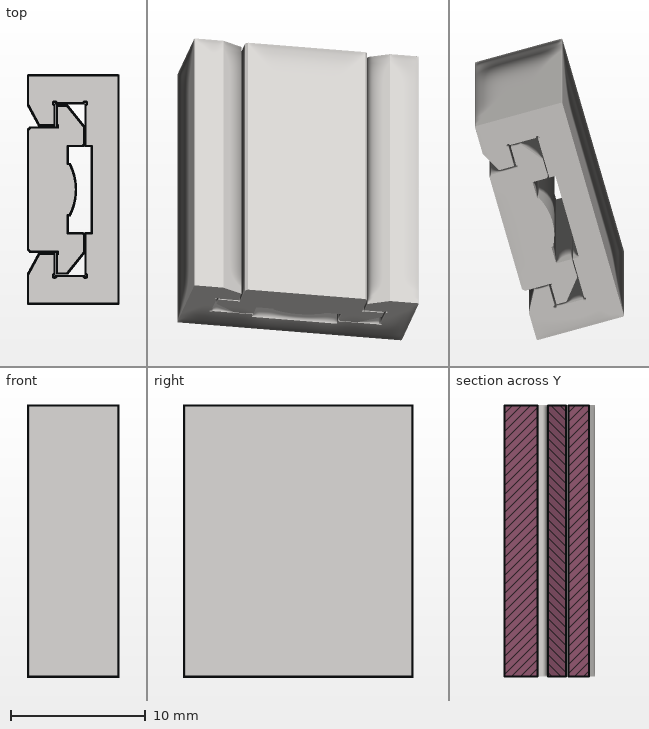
import cadquery as cq

LENGTH = 20.1
DEPTH = 6.74
HALF_WIDTH = 16.95 / 2
POCKET_HALF_WIDTH = 3.22
CLEARANCE = 0.16

CHANNEL_HALF_WIDTH = 6.4
CHANNEL_FLOOR_X = 4.26
POCKET_FLOOR_X = 4.73
LIP_BACK_X = 2.0
LIP_HALF_GAP = 4.77
LIP_TIP_X = 0.82
LIP_BEVEL_HALF_WIDTH = 6.3
RELIEF_RADIUS = 0.12
RAIL_EDGE_RADIUS = 0.1

CARRIAGE_HALF_WIDTH = LIP_HALF_GAP - CLEARANCE
WING_HALF_WIDTH = CHANNEL_HALF_WIDTH - CLEARANCE
WING_FRONT_X = LIP_BACK_X + CLEARANCE
WING_TIP_X = 2.92
WING_BEVEL_HALF_WIDTH = 4.67
CARRIAGE_BACK_X = 4.18
CARRIAGE_POCKET_X = 2.98
BUMP_HALF_WIDTH = 1.91
BUMP_SHOULDER_X = 3.12
BUMP_CREST_X = 3.58
NECK_RELIEF_DEPTH = 0.08
NECK_RELIEF_WIDTH = 0.16
CARRIAGE_EDGE_CHAMFER = 0.18
BACK_EDGE_CHAMFER = 0.12


def mirrored(points):
    """Complete a symmetric outline from the points of its +Y half."""
    return points + [(x, -y) for x, y in reversed(points)]


def extrude_outline(half_points):
    return cq.Workplane("XY").polyline(mirrored(half_points)).close().extrude(LENGTH)


def make_rail():
    rail = extrude_outline([
        (POCKET_FLOOR_X, POCKET_HALF_WIDTH),
        (CHANNEL_FLOOR_X, POCKET_HALF_WIDTH),
        (CHANNEL_FLOOR_X, CHANNEL_HALF_WIDTH),
        (LIP_BACK_X, CHANNEL_HALF_WIDTH),
        (LIP_BACK_X, LIP_HALF_GAP),
        (LIP_TIP_X, LIP_HALF_GAP),
        (0, LIP_BEVEL_HALF_WIDTH),
        (0, HALF_WIDTH),
        (DEPTH, HALF_WIDTH),
    ])

    for x in (0, DEPTH):
        for y in (-HALF_WIDTH, HALF_WIDTH):
            corner = cq.selectors.NearestToPointSelector((x, y, LENGTH / 2))
            rail = rail.edges("|Z").edges(corner).fillet(RAIL_EDGE_RADIUS)

    relief_centers = [
        (x, y)
        for x in (LIP_BACK_X, CHANNEL_FLOOR_X)
        for y in (-CHANNEL_HALF_WIDTH, CHANNEL_HALF_WIDTH)
    ]
    reliefs = cq.Workplane("XY").pushPoints(relief_centers).circle(RELIEF_RADIUS).extrude(LENGTH)
    return rail.cut(reliefs)


def make_carriage():
    carriage = extrude_outline([
        (0, CARRIAGE_HALF_WIDTH - CARRIAGE_EDGE_CHAMFER),
        (CARRIAGE_EDGE_CHAMFER, CARRIAGE_HALF_WIDTH),
        (WING_FRONT_X + NECK_RELIEF_DEPTH, CARRIAGE_HALF_WIDTH),
        (WING_FRONT_X + NECK_RELIEF_DEPTH, CARRIAGE_HALF_WIDTH + NECK_RELIEF_WIDTH),
        (WING_FRONT_X, CARRIAGE_HALF_WIDTH + NECK_RELIEF_WIDTH),
        (WING_FRONT_X, WING_HALF_WIDTH),
        (WING_TIP_X, WING_HALF_WIDTH),
        (CARRIAGE_BACK_X, WING_BEVEL_HALF_WIDTH),
        (CARRIAGE_BACK_X, POCKET_HALF_WIDTH + BACK_EDGE_CHAMFER),
        (CARRIAGE_BACK_X - BACK_EDGE_CHAMFER, POCKET_HALF_WIDTH),
        (CARRIAGE_POCKET_X, POCKET_HALF_WIDTH),
    ])

    bump = (
        cq.Workplane("XY")
        .moveTo(CARRIAGE_POCKET_X, -BUMP_HALF_WIDTH)
        .lineTo(BUMP_SHOULDER_X, -BUMP_HALF_WIDTH)
        .threePointArc((BUMP_CREST_X, 0), (BUMP_SHOULDER_X, BUMP_HALF_WIDTH))
        .lineTo(CARRIAGE_POCKET_X, BUMP_HALF_WIDTH)
        .close()
        .extrude(LENGTH)
    )
    return carriage.union(bump)


rail = make_rail()
carriage = make_carriage()

result = cq.Compound.makeCompound([rail.val(), carriage.val()])